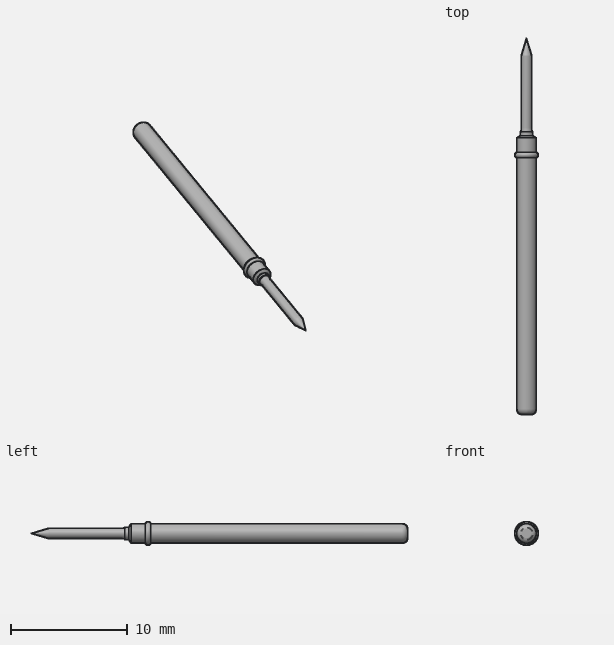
import cadquery as cq

total_length = 32.3

plunger_diameter = 0.9
collar_diameter = 1.1
barrel_diameter = 1.68
bead_diameter = 2.05

tip_length = 1.5
plunger_length = 6.27
neck_length = 0.3
collar_length = 0.32
shoulder_length = 0.2
front_barrel_length = 1.23
bead_width = 0.5
end_radius = 0.45

neck_diameter = 0.97

plunger_radius = plunger_diameter / 2
neck_radius = neck_diameter / 2
collar_radius = collar_diameter / 2
barrel_radius = barrel_diameter / 2
bead_radius = bead_diameter / 2

plunger_front = total_length - tip_length
neck_front = plunger_front - plunger_length
collar_front = neck_front - neck_length
shoulder_front = collar_front - collar_length
barrel_front = shoulder_front - shoulder_length
bead_front = barrel_front - front_barrel_length
bead_back = bead_front - bead_width
bead_middle = (bead_front + bead_back) / 2

profile = (
    cq.Workplane("XY")
    .moveTo(0, total_length)
    .lineTo(plunger_radius, plunger_front)
    .lineTo(plunger_radius, neck_front)
    .lineTo(neck_radius, collar_front)
    .lineTo(collar_radius, collar_front)
    .lineTo(collar_radius, shoulder_front)
    .lineTo(barrel_radius, barrel_front)
    .lineTo(barrel_radius, bead_front)
    .threePointArc((bead_radius, bead_middle), (barrel_radius, bead_back))
    .lineTo(barrel_radius, end_radius)
    .radiusArc((barrel_radius - end_radius, 0), end_radius)
    .lineTo(0, 0)
    .close()
)

result = profile.revolve(360, (0, 0, 0), (0, 1, 0))